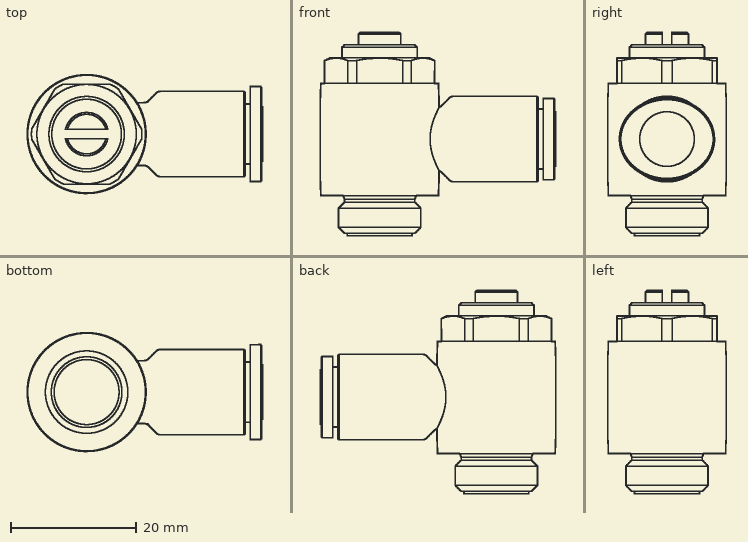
import cadquery as cq
import math

OVERALL_LENGTH = 37.6

TIP_RADIUS = 5.2
TIP_TOP = 0.4
STEM_RADIUS = 6.58
STEM_ROOT_RADIUS = 5.65
STEM_BEVEL_TOP = TIP_TOP + STEM_RADIUS - STEM_ROOT_RADIUS
STEM_SHOULDER = 4.45
GROOVE_BOTTOM = 5.38
GROOVE_TOP = 5.85
GROOVE_FLARE_RADIUS = 5.85

BODY_DIAMETER = 19.0
BODY_RADIUS = BODY_DIAMETER / 2
BODY_END_RADIUS = 9.4
BODY_BOTTOM = 6.43
BODY_TOP = 24.33
BODY_TAPER_LENGTH = 2.5

HEX_ACROSS_FLATS = 15.98
HEX_CORNER_RADIUS = 8.8
HEX_TOP = 28.4
HEX_BEVEL_RADIUS = 7.95
HEX_BEVEL_HEIGHT = 0.4

COLLAR_RADIUS = 6.0
COLLAR_TOP = 30.55
COLLAR_CHAMFER = 0.45
SCREW_RADIUS = 3.45
SCREW_TOP = 32.5
SCREW_CHAMFER = 0.3
SLOT_WIDTH = 1.45

ARM_HEIGHT = 15.45
ARM_RADIUS = 6.85
ARM_NECK_RADIUS = 5.05
ARM_CONE_END = 11.4
ARM_CONE_START = ARM_CONE_END - (ARM_RADIUS - ARM_NECK_RADIUS)
ARM_BLEND_RADIUS = 1.0
ARM_END = 25.3
ARM_END_CHAMFER = 0.23

BUTTON_STEM_RADIUS = 4.8
BUTTON_START = 26.1
BUTTON_END = 27.97
BUTTON_HALF_WIDTH = 7.6
BUTTON_HALF_HEIGHT = 6.5
BUTTON_CHAMFER = 0.23
LIP_RADIUS = 4.35
LIP_END = OVERALL_LENGTH - BODY_RADIUS


def cylinder(radius, bottom, top):
    """Upright cylinder on the Z axis."""
    return cq.Workplane("XY").workplane(offset=bottom).circle(radius).extrude(top - bottom)


def arm_cylinder(radius, start, end):
    """Cylinder on the arm axis, running along +X."""
    plane = cq.Workplane("YZ", origin=(start, 0, ARM_HEIGHT))
    return plane.circle(radius).extrude(end - start)


def make_stem_and_body():
    profile = [
        (0, 0),
        (TIP_RADIUS, 0),
        (TIP_RADIUS, TIP_TOP),
        (STEM_ROOT_RADIUS, TIP_TOP),
        (STEM_RADIUS, STEM_BEVEL_TOP),
        (STEM_RADIUS, STEM_SHOULDER),
        (STEM_ROOT_RADIUS, GROOVE_BOTTOM),
        (STEM_ROOT_RADIUS, GROOVE_TOP),
        (GROOVE_FLARE_RADIUS, BODY_BOTTOM),
        (BODY_END_RADIUS, BODY_BOTTOM),
        (BODY_RADIUS, BODY_BOTTOM + BODY_TAPER_LENGTH),
        (BODY_RADIUS, BODY_TOP - BODY_TAPER_LENGTH),
        (BODY_END_RADIUS, BODY_TOP),
        (0, BODY_TOP),
    ]
    return cq.Workplane("XZ").polyline(profile).close().revolve(360, (0, 0), (0, 1))


def make_hexagon():
    corner_diameter = HEX_ACROSS_FLATS / math.cos(math.pi / 6)
    prism = (
        cq.Workplane("XY")
        .workplane(offset=BODY_TOP)
        .polygon(6, corner_diameter)
        .extrude(HEX_TOP - BODY_TOP)
    )
    envelope = [
        (0, BODY_TOP),
        (HEX_CORNER_RADIUS, BODY_TOP),
        (HEX_CORNER_RADIUS, HEX_TOP - HEX_BEVEL_HEIGHT),
        (HEX_BEVEL_RADIUS, HEX_TOP),
        (0, HEX_TOP),
    ]
    turned = cq.Workplane("XZ").polyline(envelope).close().revolve(360, (0, 0), (0, 1))
    return prism.intersect(turned)


def make_collar_and_screw():
    collar = cylinder(COLLAR_RADIUS, HEX_TOP, COLLAR_TOP).faces(">Z").chamfer(COLLAR_CHAMFER)
    screw = cylinder(SCREW_RADIUS, COLLAR_TOP, SCREW_TOP).faces(">Z").chamfer(SCREW_CHAMFER)
    slot = (
        cq.Workplane("XY")
        .workplane(offset=COLLAR_TOP)
        .rect(2 * COLLAR_RADIUS, SLOT_WIDTH)
        .extrude(SCREW_TOP - COLLAR_TOP)
    )
    return collar.union(screw.cut(slot))


def make_arm():
    tangent = ARM_BLEND_RADIUS * math.tan(math.pi / 8)
    half_sine = ARM_BLEND_RADIUS * math.sin(math.pi / 8)
    half_rise = ARM_BLEND_RADIUS * (1 - math.cos(math.pi / 8))
    on_cone = tangent * math.cos(math.pi / 4)
    neck_tangent = ARM_CONE_START - tangent
    arm_tangent = ARM_CONE_END + tangent
    sleeve = (
        cq.Workplane("XY")
        .lineTo(0, ARM_NECK_RADIUS)
        .lineTo(neck_tangent, ARM_NECK_RADIUS)
        .threePointArc(
            (neck_tangent + half_sine, ARM_NECK_RADIUS + half_rise),
            (ARM_CONE_START + on_cone, ARM_NECK_RADIUS + on_cone),
        )
        .lineTo(ARM_CONE_END - on_cone, ARM_RADIUS - on_cone)
        .threePointArc(
            (arm_tangent - half_sine, ARM_RADIUS - half_rise),
            (arm_tangent, ARM_RADIUS),
        )
        .lineTo(ARM_END - ARM_END_CHAMFER, ARM_RADIUS)
        .lineTo(ARM_END, ARM_RADIUS - ARM_END_CHAMFER)
        .lineTo(ARM_END, 0)
        .close()
        .revolve(360, (0, 0), (1, 0))
    )
    return sleeve.translate((0, 0, ARM_HEIGHT))


def make_release_button():
    stem = arm_cylinder(BUTTON_STEM_RADIUS, ARM_END, BUTTON_START)
    button = (
        cq.Workplane("YZ", origin=(BUTTON_START, 0, ARM_HEIGHT))
        .ellipse(BUTTON_HALF_WIDTH, BUTTON_HALF_HEIGHT)
        .extrude(BUTTON_END - BUTTON_START)
        .faces(">X")
        .chamfer(BUTTON_CHAMFER)
    )
    lip = arm_cylinder(LIP_RADIUS, BUTTON_END, LIP_END)
    return stem.union(button).union(lip)


result = (
    make_stem_and_body()
    .union(make_hexagon())
    .union(make_collar_and_screw())
    .union(make_arm())
    .union(make_release_button())
)